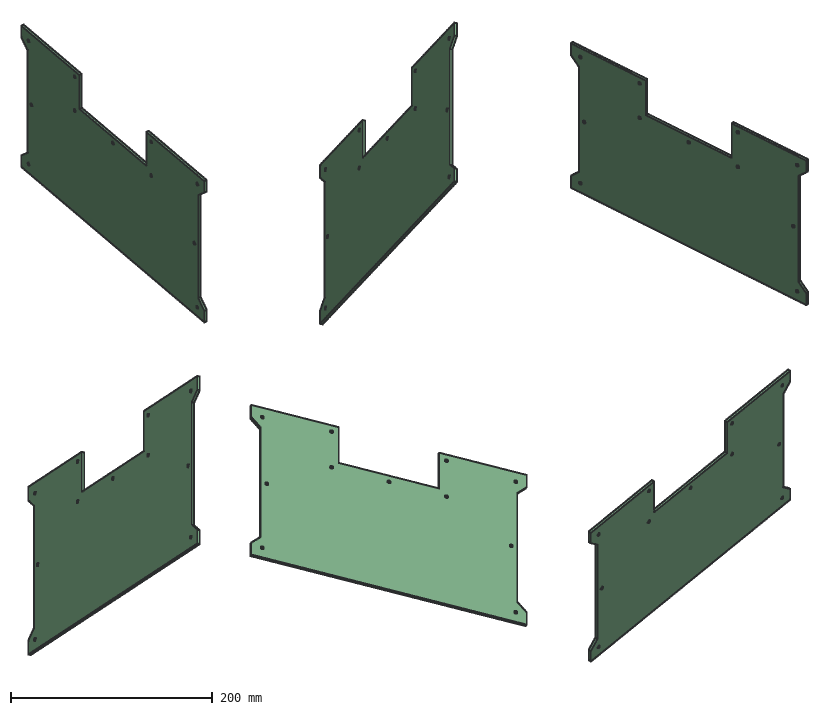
import cadquery as cq

width = 296.0
height = 186.0
thickness = 3.0

recess_depth = 10.0
tab_height = 15.0
tab_slope_height = recess_depth

notch_width = 108.0
notch_depth = 44.5

hole_diameter = 3.3
corner_hole_inset = 11.8
edge_hole_inset = 7.7
side_hole_inset = 6.5

half_width = width / 2
half_height = height / 2
waist_x = half_width - recess_depth
notch_x = notch_width / 2
notch_floor_z = half_height - notch_depth


def plate_blank():
    """Plate outline with corner tabs and top notch, extruded through Y."""
    tab_z = half_height - tab_height
    shoulder_z = tab_z - tab_slope_height
    right_side = [
        (half_width, -half_height),
        (half_width, -tab_z),
        (waist_x, -shoulder_z),
        (waist_x, shoulder_z),
        (half_width, tab_z),
        (half_width, half_height),
        (notch_x, half_height),
        (notch_x, notch_floor_z),
    ]
    left_side = [(-x, z) for x, z in reversed(right_side)]
    return (
        cq.Workplane("XZ")
        .polyline(right_side + left_side)
        .close()
        .extrude(thickness / 2, both=True)
    )


def hole_centres():
    """Centres of all holes, mirrored about the vertical centre line."""
    corner_x = half_width - corner_hole_inset
    corner_z = half_height - corner_hole_inset
    notch_hole_x = notch_x + edge_hole_inset
    floor_hole_z = notch_floor_z - edge_hole_inset
    right_holes = [
        (corner_x, corner_z),
        (corner_x, -corner_z),
        (waist_x - side_hole_inset, 0),
        (notch_hole_x, half_height - edge_hole_inset),
        (notch_hole_x, floor_hole_z),
    ]
    left_holes = [(-x, z) for x, z in right_holes]
    return right_holes + left_holes + [(0, floor_hole_z)]


def hole_pins():
    """Cylinders that cut the round holes through the plate."""
    return (
        cq.Workplane("XZ")
        .pushPoints(hole_centres())
        .circle(hole_diameter / 2)
        .extrude(thickness, both=True)
    )


result = plate_blank().cut(hole_pins())